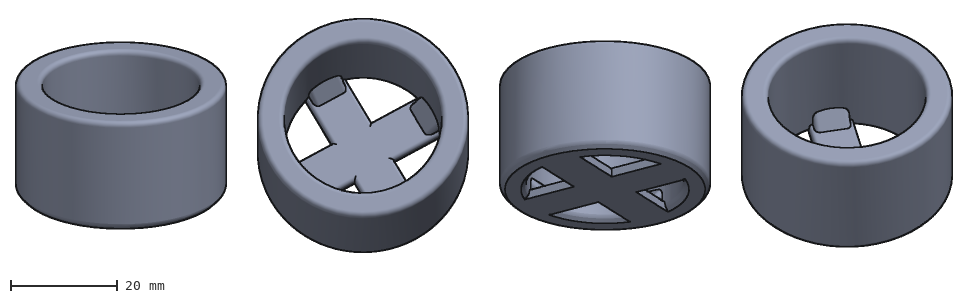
import cadquery as cq

outer_radius = 19.75
bore_radius = 14.755
height = 22.0
top_round = 1.0
bottom_chamfer = 1.0
bottom_blend = 1.0
edge_margin = 0.05

arm_width = 8.45
arm_thickness = 2.0
arm_edge_round = 0.7

ramp_width = arm_width - 2 * arm_edge_round
ramp_start = 11.77
ramp_edge_round = 0.95

embedded_radius = bore_radius + 2.37


def soften_bottom_edge(ring, radius):
    """Chamfer a bottom circular edge, then blend the chamfer into the upright wall."""
    bottom_edge = cq.selectors.RadiusNthSelector(0 if radius == bore_radius else -1)
    ring = ring.faces("<Z").edges(bottom_edge).chamfer(bottom_chamfer)
    reach = radius + edge_margin
    wall_edge = cq.selectors.BoxSelector(
        (-reach, -reach, bottom_chamfer - edge_margin),
        (reach, reach, bottom_chamfer + edge_margin),
        boundingbox=True,
    )
    return ring.edges(wall_edge).fillet(bottom_blend)


def make_ring():
    ring = cq.Workplane("XY").circle(outer_radius).circle(bore_radius).extrude(height)
    ring = ring.faces(">Z").edges().fillet(top_round)
    ring = soften_bottom_edge(ring, outer_radius)
    return soften_bottom_edge(ring, bore_radius)


def make_cross():
    length = 2 * outer_radius
    cross = (
        cq.Workplane("XY")
        .rect(length, arm_width)
        .extrude(arm_thickness)
        .union(cq.Workplane("XY").rect(arm_width, length).extrude(arm_thickness))
    )
    cross = cross.faces(">Z").edges().fillet(arm_edge_round)
    limit = cq.Workplane("XY").circle(embedded_radius).extrude(arm_thickness)
    return cross.intersect(limit)


def make_ramp():
    """Ramp on the +X arm; the slope leaves the arm top at ramp_start."""
    foot = ramp_start - arm_thickness
    rise = embedded_radius - foot
    ramp = (
        cq.Workplane("XZ")
        .polyline([(foot, 0), (embedded_radius, 0), (embedded_radius, rise)])
        .close()
        .extrude(ramp_width / 2, both=True)
    )
    ramp = ramp.edges("not(|X or |Y or |Z)").fillet(ramp_edge_round)
    above_arm = (
        cq.Workplane("XY")
        .workplane(offset=arm_thickness)
        .circle(embedded_radius)
        .extrude(height - arm_thickness)
    )
    return ramp.intersect(above_arm)


result = make_ring().union(make_cross())
for quarter in range(4):
    result = result.union(make_ramp().rotate((0, 0, 0), (0, 0, 1), 90 * quarter))